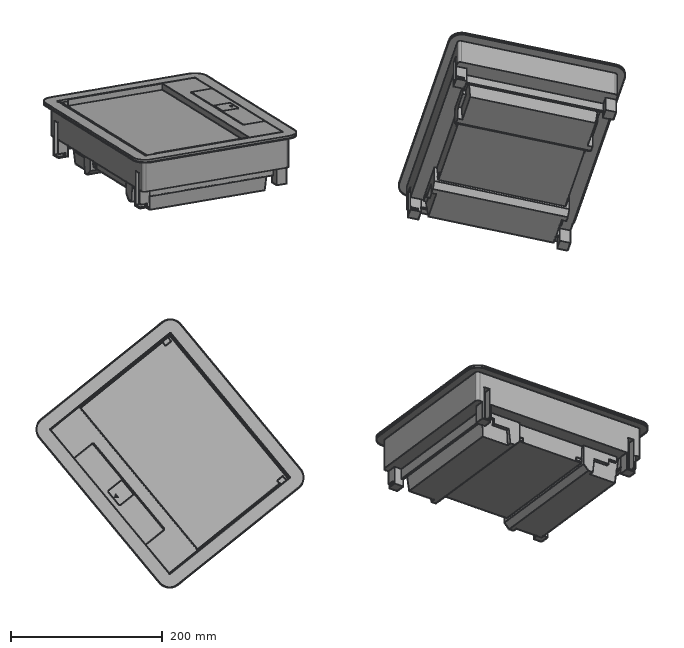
import cadquery as cq
import math


FRAME_LENGTH = 285.0
FRAME_WIDTH = 240.0
FRAME_CORNER_RADIUS = 17.5
FRAME_THICKNESS = 3.0
FLANGE_BOTTOM = -4.3
OPENING_LENGTH = 249.7
OPENING_WIDTH = 204.5

HOUSING_LENGTH = 262.5
HOUSING_WIDTH = 218.3
HOUSING_CORNER_RADIUS = 4.3
HOUSING_BOTTOM = -48.2

LEG_OUTER_X = 122.5
LEG_INNER_X = 108.5
LEG_DEPTH = 14.5
LEG_BOTTOM = -73.8
LEG_EDGE_RADIUS = 2.5
SLOT_OUTER_X = 119.5
SLOT_INNER_X = 111.0
SLOT_DEPTH = 10.8
SLOT_TOP = -24.8
SLOT_FLOOR = -71.8
NOTCH_TOP = -68.5
NOTCH_ROUNDING = 2.0

RIB_THICKNESS = 2.8
RIB_BOTTOM = -63.3

TRAY_BOTTOM = -84.5
TRAY_BASE_LENGTH = 211.5
TRAY_BASE_WIDTH = 171.0
DRAFT_ANGLE = 5.0
CUP_INNER_X = 51.0
CUP_CHAMFER = 7.7
BRIDGE_BOTTOM = -72.7
TAB_LENGTH = 8.5
TAB_TOP = -67.0
TAB_BOTTOM = -71.2
TAB_HEIGHT = 0.9

PLATE_FACE_Y = 92.0
PLATE_OUTER_X = 104.3
PLATE_STEP_X = 91.5
PLATE_STEP_Z = -55.5
PLATE_SHELF_Z = -63.3
PLATE_FOOT_TOP_X = 68.5
PLATE_FOOT_BOTTOM_X = 65.8

LID_GAP = 1.0
LID_RIM = 1.0
LID_BOTTOM = -12.8
LID_RECESS_DEPTH = 8.5
LID_STRIP_FRONT_Y = 53.0
HINGE_FRONT_Y = -97.0
HINGE_BACK_Y = -87.2
HINGE_LENGTH = 7.5
HINGE_FLOOR = -9.7

FLAP_LENGTH = 149.3
FLAP_FRONT_Y = 70.5
FLAP_GAP = 0.9
FLAP_CORNER_RADIUS = 1.7
FLAP_THICKNESS = 4.3

BUTTON_LENGTH = 25.0
BUTTON_FRONT_Y = 71.8
BUTTON_BACK_Y = 95.8
BUTTON_CORNER_RADIUS = 1.7
ARROW_BASE_Y = 90.3
ARROW_TIP_Y = 93.5
ARROW_HALF_LENGTH = 2.5
ARROW_DEPTH = 0.3

HOUSING_FRONT_Y = -HOUSING_WIDTH / 2
LID_HALF_LENGTH = OPENING_LENGTH / 2 - LID_GAP
LID_FRONT_Y = -OPENING_WIDTH / 2 + LID_GAP
LID_BACK_Y = OPENING_WIDTH / 2
TRAY_HEIGHT = HOUSING_BOTTOM - TRAY_BOTTOM
TRAY_TOP_GROWTH = 2 * TRAY_HEIGHT * math.tan(math.radians(DRAFT_ANGLE))
TRAY_TOP_LENGTH = TRAY_BASE_LENGTH + TRAY_TOP_GROWTH


def block(x_range, y_range, z_range):
    """A box between two limits on each axis, given in either order."""
    x0, x1 = sorted(x_range)
    y0, y1 = sorted(y_range)
    z0, z1 = sorted(z_range)
    return cq.Workplane("XY").box(x1 - x0, y1 - y0, z1 - z0, centered=False).translate((x0, y0, z0))


def centred_block(length, width, z_range):
    """A box centred on the Z axis."""
    return block((-length / 2, length / 2), (-width / 2, width / 2), z_range)


def make_frame():
    plate = centred_block(FRAME_LENGTH, FRAME_WIDTH, (-FRAME_THICKNESS, 0))
    plate = plate.edges("|Z").fillet(FRAME_CORNER_RADIUS)
    return plate.cut(centred_block(OPENING_LENGTH, OPENING_WIDTH, (-FRAME_THICKNESS, 0)))


def make_leg(x_range, y_range):
    """A leg of the -Y side; its foot below the slot is rounded at the outer +X edge."""
    leg = block(x_range, y_range, (SLOT_FLOOR, HOUSING_BOTTOM))
    foot = block(x_range, y_range, (LEG_BOTTOM, SLOT_FLOOR))
    return leg.union(foot.edges("|Z and >X and <Y").fillet(LEG_EDGE_RADIUS))


def make_leg_slot(x_range, notch_x):
    """A slot open to -Y, with a notch near its floor that opens sideways as far as notch_x."""
    back_y = HOUSING_FRONT_Y + SLOT_DEPTH
    slot = block(x_range, (HOUSING_FRONT_Y, back_y), (SLOT_FLOOR, SLOT_TOP))
    middle_x = sum(x_range) / 2
    arc_offset = NOTCH_ROUNDING * (1 - math.sqrt(0.5))
    notch = (
        cq.Workplane("YZ")
        .moveTo(HOUSING_FRONT_Y, SLOT_FLOOR)
        .lineTo(back_y, SLOT_FLOOR)
        .lineTo(back_y, NOTCH_TOP)
        .lineTo(HOUSING_FRONT_Y + NOTCH_ROUNDING, NOTCH_TOP)
        .threePointArc(
            (HOUSING_FRONT_Y + arc_offset, NOTCH_TOP + arc_offset),
            (HOUSING_FRONT_Y, NOTCH_TOP + NOTCH_ROUNDING),
        )
        .close()
        .extrude(notch_x - middle_x)
        .translate((middle_x, 0, 0))
    )
    return slot.union(notch)


def make_housing():
    body = centred_block(HOUSING_LENGTH, HOUSING_WIDTH, (HOUSING_BOTTOM, FLANGE_BOTTOM))
    body = body.edges("|Z").fillet(HOUSING_CORNER_RADIUS)
    flange = centred_block(FRAME_LENGTH, FRAME_WIDTH, (FLANGE_BOTTOM, -FRAME_THICKNESS))
    body = body.union(flange.edges("|Z").fillet(FRAME_CORNER_RADIUS))
    body = body.cut(centred_block(OPENING_LENGTH, OPENING_WIDTH, (LID_BOTTOM, -FRAME_THICKNESS)))

    leg_y = (HOUSING_FRONT_Y, HOUSING_FRONT_Y + LEG_DEPTH)
    leg_sides = (
        ((-LEG_OUTER_X, -LEG_INNER_X), (-SLOT_OUTER_X, -SLOT_INNER_X)),
        ((LEG_INNER_X, LEG_OUTER_X), (SLOT_INNER_X, SLOT_OUTER_X)),
    )
    for leg_x, slot_x in leg_sides:
        leg = make_leg(leg_x, leg_y)
        slot = make_leg_slot(slot_x, leg_x[1])
        for turn in (0, 180):
            body = body.union(leg.rotate((0, 0, 0), (0, 0, 1), turn))
            body = body.cut(slot.rotate((0, 0, 0), (0, 0, 1), turn))

    rib_half_width = HOUSING_WIDTH / 2 - LEG_DEPTH
    for side in (-1, 1):
        rib_x = (side * TRAY_TOP_LENGTH / 2, side * (TRAY_TOP_LENGTH / 2 + RIB_THICKNESS))
        body = body.union(block(rib_x, (-rib_half_width, rib_half_width), (RIB_BOTTOM, HOUSING_BOTTOM)))
    return body


def make_tapered_core(growth):
    """The drafted tray block, grown outward at both ends along Y."""
    base_width = TRAY_BASE_WIDTH + 2 * growth
    return (
        cq.Workplane("XY")
        .workplane(offset=TRAY_BOTTOM)
        .rect(TRAY_BASE_LENGTH, base_width)
        .workplane(offset=TRAY_HEIGHT)
        .rect(TRAY_TOP_LENGTH, base_width + TRAY_TOP_GROWTH)
        .loft(ruled=True)
    )


def make_end_plates():
    """Stepped plates of the cup on the +X side, running from its -Y face to its +Y face."""
    profile = [
        (CUP_INNER_X, HOUSING_BOTTOM),
        (PLATE_OUTER_X, HOUSING_BOTTOM),
        (PLATE_OUTER_X, PLATE_STEP_Z),
        (PLATE_STEP_X, PLATE_STEP_Z),
        (PLATE_STEP_X, PLATE_SHELF_Z),
        (PLATE_FOOT_TOP_X, PLATE_SHELF_Z),
        (PLATE_FOOT_BOTTOM_X, TRAY_BOTTOM),
        (CUP_INNER_X, TRAY_BOTTOM),
    ]
    return cq.Workplane("XZ").polyline(profile).close().extrude(PLATE_FACE_Y, both=True)


def make_tray():
    """Two deep cups with end plates, joined by a shallower bridge."""
    tray = make_tapered_core(0)
    plates = make_end_plates()
    tray = tray.union(plates).union(plates.mirror("YZ"))

    chamfer_outer_x = CUP_INNER_X + CUP_CHAMFER
    chamfer_top = TRAY_BOTTOM + CUP_CHAMFER
    gap_profile = [
        (-CUP_INNER_X, BRIDGE_BOTTOM),
        (CUP_INNER_X, BRIDGE_BOTTOM),
        (CUP_INNER_X, chamfer_top),
        (chamfer_outer_x, TRAY_BOTTOM),
        (-chamfer_outer_x, TRAY_BOTTOM),
        (-CUP_INNER_X, chamfer_top),
    ]
    gap = cq.Workplane("XZ").polyline(gap_profile).close().extrude(FRAME_WIDTH, both=True)
    tray = tray.cut(gap)

    grown_core = make_tapered_core(TAB_HEIGHT)
    for side in (-1, 1):
        tab_x = (side * CUP_INNER_X, side * (CUP_INNER_X - TAB_LENGTH))
        tab_space = block(tab_x, (-PLATE_FACE_Y, PLATE_FACE_Y), (TAB_BOTTOM, TAB_TOP))
        tray = tray.union(grown_core.intersect(tab_space))
    return tray


def make_lid():
    lid = block((-LID_HALF_LENGTH, LID_HALF_LENGTH), (LID_FRONT_Y, LID_BACK_Y), (LID_BOTTOM, 0))

    recess_half_length = LID_HALF_LENGTH - LID_RIM
    recess_y = (LID_FRONT_Y + LID_RIM, LID_STRIP_FRONT_Y)
    lid = lid.cut(block((-recess_half_length, recess_half_length), recess_y, (-LID_RECESS_DEPTH, 0)))

    for side in (-1, 1):
        hinge_x = (side * LID_HALF_LENGTH, side * (LID_HALF_LENGTH - HINGE_LENGTH))
        hinge_y = (HINGE_FRONT_Y, HINGE_BACK_Y)
        rim_gap_y = (recess_y[0], HINGE_BACK_Y)
        lid = lid.cut(block(hinge_x, rim_gap_y, (-LID_RECESS_DEPTH, 0)))
        lid = lid.cut(block(hinge_x, hinge_y, (HINGE_FLOOR, -LID_RECESS_DEPTH)))

    return lid.cut(make_flap_blank(FLAP_FRONT_Y - FLAP_GAP))


def make_flap_blank(front_y):
    """The flap outline from front_y to the back of the lid, without the button window."""
    half_length = FLAP_LENGTH / 2
    blank = block((-half_length, half_length), (front_y, LID_BACK_Y), (-FLAP_THICKNESS, 0))
    return blank.edges("|Z and <Y").fillet(FLAP_CORNER_RADIUS)


def make_button_blank():
    """The plain button, also used as the window in the flap."""
    half_length = BUTTON_LENGTH / 2
    blank = block((-half_length, half_length), (BUTTON_FRONT_Y, BUTTON_BACK_Y), (-FLAP_THICKNESS, 0))
    return blank.edges("|Z").fillet(BUTTON_CORNER_RADIUS)


def make_flap():
    return make_flap_blank(FLAP_FRONT_Y).cut(make_button_blank())


def make_button():
    """Latch button that fills the flap window, with an engraved arrow."""
    arrow = (
        cq.Workplane("XY")
        .polyline([(-ARROW_HALF_LENGTH, ARROW_BASE_Y), (ARROW_HALF_LENGTH, ARROW_BASE_Y), (0, ARROW_TIP_Y)])
        .close()
        .extrude(-ARROW_DEPTH)
    )
    return make_button_blank().cut(arrow)


frame = make_frame()
housing = make_housing()
tray = make_tray()
lid = make_lid()
flap = make_flap()
button = make_button()

result = cq.Compound.makeCompound(
    [frame.val(), housing.val(), tray.val(), lid.val(), flap.val(), button.val()]
)